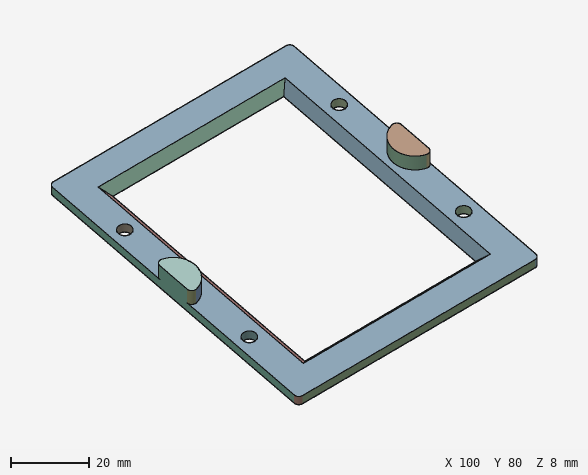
import cadquery as cq

plate_length = 100.0
plate_width = 80.0
plate_thickness = 3.0
corner_radius = 1.5

window_length = 77.0
window_width = 56.5
window_flare = 2.7

hole_diameter = 4.2
hole_spacing_x = 50.0
hole_spacing_y = 71.0

lug_radius = 7.2
lug_height = 5.0
lug_corner_radius = 1.5


def make_plate():
    plate = cq.Workplane("XY").box(
        plate_length, plate_width, plate_thickness, centered=(True, True, False)
    )
    return plate.edges("|Z").fillet(corner_radius)


def make_window():
    return (
        cq.Workplane("XY")
        .rect(window_length, window_width)
        .workplane(offset=plate_thickness)
        .rect(window_length + 2 * window_flare, window_width + 2 * window_flare)
        .loft(ruled=True)
    )


def make_front_lug():
    """Half-disc with its flat side flush with the -Y edge and its two corners rounded."""
    lug = (
        cq.Workplane("XY", origin=(0, -plate_width / 2, plate_thickness))
        .moveTo(-lug_radius, 0)
        .lineTo(lug_radius, 0)
        .threePointArc((0, lug_radius), (-lug_radius, 0))
        .close()
        .extrude(lug_height)
    )
    return lug.edges("|Z").fillet(lug_corner_radius)


front_lug = make_front_lug()
back_lug = front_lug.mirror("XZ")
holes = (
    cq.Workplane("XY")
    .rect(hole_spacing_x, hole_spacing_y, forConstruction=True)
    .vertices()
    .circle(hole_diameter / 2)
    .extrude(plate_thickness)
)

result = make_plate().cut(make_window()).cut(holes).union(front_lug).union(back_lug)